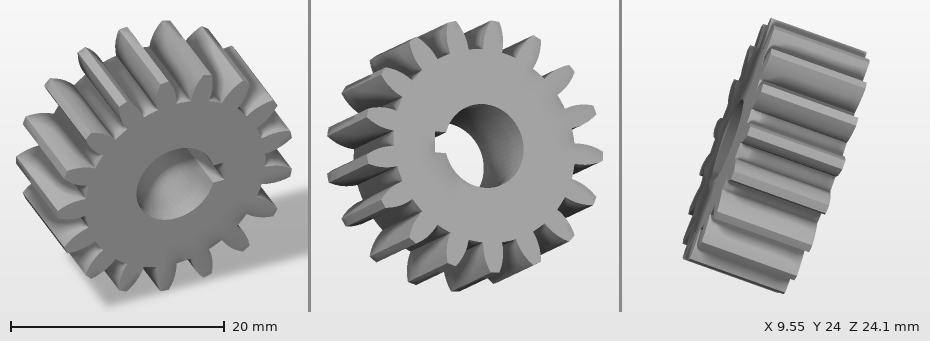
import cadquery as cq
import math

face_width = 9.55
tooth_count = 17
tip_radius = 12.07
root_radius = 9.23
bore_radius = 4.0
keyway_width = 2.0
keyway_reach = 5.0

root_half_width = 0.96
flank_mid_radius = 10.6
flank_mid_half_width = 0.95
tip_half_width = 0.43


def extrude_along_axis(sketch):
    """Extrude a YZ sketch, centred on X = 0."""
    return sketch.extrude(face_width / 2, both=True)


def point_on_circle(radius, half_width):
    """Point of a tooth pointing along local +X, on a circle about the gear axis."""
    return math.sqrt(radius**2 - half_width**2), half_width


def make_tooth(angle):
    """One tooth, with its foot sunk into the gear body."""
    root_x, root_y = point_on_circle(root_radius, root_half_width)
    mid_x, mid_y = point_on_circle(flank_mid_radius, flank_mid_half_width)
    tip_x, tip_y = point_on_circle(tip_radius, tip_half_width)
    foot_x = (bore_radius + root_radius) / 2
    sketch = (
        cq.Workplane("YZ")
        .moveTo(foot_x, -root_y)
        .lineTo(root_x, -root_y)
        .threePointArc((mid_x, -mid_y), (tip_x, -tip_y))
        .threePointArc((tip_radius, 0), (tip_x, tip_y))
        .threePointArc((mid_x, mid_y), (root_x, root_y))
        .lineTo(foot_x, root_y)
        .close()
    )
    return extrude_along_axis(sketch).rotate((0, 0, 0), (1, 0, 0), angle)


def make_bore():
    """Round bore with a keyway on the +Y side."""
    round_bore = extrude_along_axis(cq.Workplane("YZ").circle(bore_radius))
    keyway = extrude_along_axis(
        cq.Workplane("YZ").center(keyway_reach / 2, 0).rect(keyway_reach, keyway_width)
    )
    return round_bore.union(keyway)


gear = extrude_along_axis(cq.Workplane("YZ").circle(root_radius))
for index in range(tooth_count):
    gear = gear.union(make_tooth(180 + index * 360 / tooth_count))

result = gear.cut(make_bore())